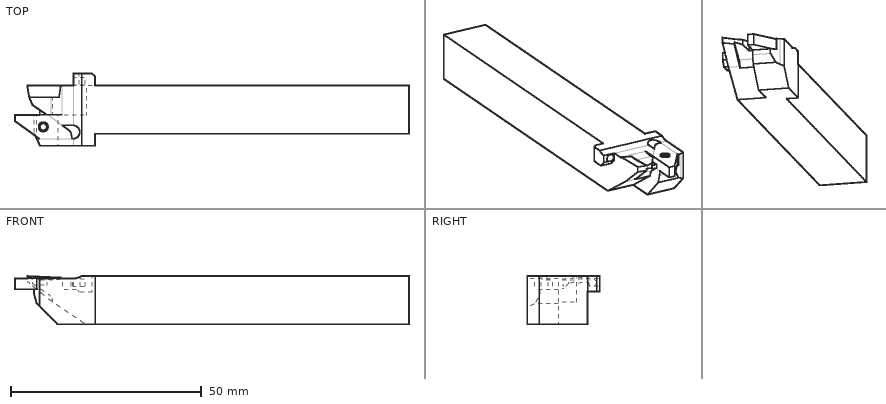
import math

import cadquery as cq

TOTAL_LENGTH = 103.3
SHANK_SIDE = 12.7
SHANK_HALF = SHANK_SIDE / 2

HEAD_WIDTH = 19.0
HEAD_HALF = HEAD_WIDTH / 2
HEAD_BACK_X = 21.0
HEAD_TOP_Z = 12.1
COLLAR_FRONT_X = 15.3
RAMP_END_X = 17.5

EAR_BOTTOM_Z = 8.6
EAR_SLANT = 1.5
EAR_CORNER_CHAMFER = 0.8
EAR_HOLE_RADIUS = 1.0
EAR_HOLE_DEPTH = 3.0
EAR_HOLE_Y = 7.55
EAR_HOLE_Z = 10.95

SPLIT_Y = -1.35
SEAT_FRONT_X = 5.0
SEAT_RELIEF_TOP_Z = 8.0
SEAT_RELIEF_BOTTOM_X = 5.65
FRONT_CHAMFER = 11.25
SEAT_CORNERS = [(SEAT_FRONT_X, -6.2), (6.1, -8.4), (6.55, -HEAD_HALF)]

RIDGE_Y = 3.3
FINGER_TIP_X = 3.2
FINGER_BEND_X = 4.6
FINGER_BEND_Y = 1.2
FINGER_RIDGE_X = 3.7
FINGER_FLANK_END_X = 8.4
FINGER_BOTTOM_Z = 11.25
LEDGE_Z = 10.45
LEDGE_X = 6.5
LIP_X = 9.3
LIP_Z = 6.3
THROAT_ANGLE = 34.0
THROAT_WALL_X = 9.8
THROAT_RADIUS = 2.4

RIDGE_Z = 12.2
GROOVE_FLOOR_END_X = 9.4
GROOVE_FLOOR_END_Z = 11.75
GROOVE_END_X = 12.25
GROOVE_ARC_SAG = 0.1
BAND_END_INNER_X = 11.6
BAND_END_OUTER_X = 12.0
BAND_END_Z = 12.3

INSERT_BOTTOM_Z = 9.2
INSERT_SIDE_Y = -7.6
INSERT_FLANK_END_X = 6.4
INSERT_OUTLINE = [
    (0, SPLIT_Y),
    (0, -3.0),
    (INSERT_FLANK_END_X, INSERT_SIDE_Y),
    (15.0, INSERT_SIDE_Y),
    (14.7, -6.0),
    (14.2, -5.4),
    (8.65, SPLIT_Y),
]
SCREW_X = 7.45
SCREW_Y = -4.5
SCREW_HEAD_RADIUS = 1.25
SCREW_HEAD_DEPTH = 0.2
SCREW_SOCKET_RADIUS = 0.9
SCREW_SOCKET_DEPTH = 0.4
RELIEF_X = 15.25
RELIEF_RADIUS = 1.75
RELIEF_START_X = 11.0

CLEAR = 5.0


def plan_prism(points, bottom, top):
    """Solid with the given XY outline between two heights."""
    return cq.Workplane("XY").workplane(offset=bottom).polyline(points).close().extrude(top - bottom)


def across(profile, y_low, y_high):
    """Sweep a closed XZ sketch along Y between two positions."""
    return profile.extrude(y_high - y_low).translate((0, y_high, 0))


def profile_from(x, z):
    return cq.Workplane("XZ").moveTo(x, z)


def make_shank():
    length = TOTAL_LENGTH - HEAD_BACK_X
    bar = cq.Workplane("XY").box(length, SHANK_SIDE, SHANK_SIDE, centered=(False, True, False))
    return bar.translate((HEAD_BACK_X, 0, 0))


def make_seat_half():
    outline = [(SEAT_FRONT_X, SPLIT_Y)] + SEAT_CORNERS + [(HEAD_BACK_X, -HEAD_HALF), (HEAD_BACK_X, SPLIT_Y)]
    block = plan_prism(outline, 0, SHANK_SIDE)
    under_nose = across(
        profile_from(SEAT_FRONT_X, SEAT_RELIEF_TOP_Z)
        .lineTo(SEAT_RELIEF_BOTTOM_X, FRONT_CHAMFER - SEAT_RELIEF_BOTTOM_X)
        .lineTo(FRONT_CHAMFER, 0)
        .lineTo(SEAT_FRONT_X, 0)
        .close(),
        -HEAD_HALF,
        SPLIT_Y,
    )
    return block.cut(under_nose)


def make_support_half():
    heel_slope = math.tan(math.radians(THROAT_ANGLE))
    heel_x = LIP_X + LIP_Z / heel_slope

    band = across(
        profile_from(FINGER_TIP_X, SHANK_SIDE)
        .lineTo(FINGER_TIP_X, FINGER_BOTTOM_Z)
        .lineTo(LIP_X, LIP_Z)
        .lineTo(heel_x, 0)
        .lineTo(HEAD_BACK_X, 0)
        .lineTo(HEAD_BACK_X, SHANK_SIDE)
        .close(),
        RIDGE_Y,
        SHANK_HALF,
    )

    wall_bottom_z = LIP_Z - (THROAT_WALL_X - LIP_X) * heel_slope
    arc_centre_x = THROAT_WALL_X - THROAT_RADIUS
    arc_turn = math.radians(90 - THROAT_ANGLE)
    arc_start = (
        arc_centre_x + THROAT_RADIUS * math.cos(arc_turn),
        wall_bottom_z + THROAT_RADIUS * math.sin(arc_turn),
    )
    arc_middle = (
        arc_centre_x + THROAT_RADIUS * math.cos(arc_turn / 2),
        wall_bottom_z + THROAT_RADIUS * math.sin(arc_turn / 2),
    )
    underside_front_z = arc_start[1] + (arc_start[0] - FINGER_TIP_X) * heel_slope
    inner = across(
        profile_from(FINGER_TIP_X, SHANK_SIDE)
        .lineTo(FINGER_TIP_X, underside_front_z)
        .lineTo(*arc_start)
        .threePointArc(arc_middle, (THROAT_WALL_X, wall_bottom_z))
        .lineTo(heel_x, 0)
        .lineTo(HEAD_BACK_X, 0)
        .lineTo(HEAD_BACK_X, SHANK_SIDE)
        .close(),
        SPLIT_Y,
        RIDGE_Y,
    )
    half = band.union(inner)

    back = [(HEAD_BACK_X, SPLIT_Y), (HEAD_BACK_X, SHANK_HALF)]
    front = [(FINGER_TIP_X, SHANK_HALF), (FINGER_RIDGE_X, RIDGE_Y), (FINGER_BEND_X, FINGER_BEND_Y)]
    flank_slope = (SPLIT_Y - FINGER_BEND_Y) / (FINGER_FLANK_END_X - FINGER_BEND_X)
    ledge_y = FINGER_BEND_Y + (LEDGE_X - FINGER_BEND_X) * flank_slope
    upper = plan_prism(front + [(FINGER_FLANK_END_X, SPLIT_Y)] + back, LEDGE_Z, SHANK_SIDE)
    lower = plan_prism(front + [(LEDGE_X, ledge_y), (LEDGE_X, SPLIT_Y)] + back, 0, LEDGE_Z)
    return half.intersect(upper.union(lower))


def make_ear():
    """Collar overhang beyond the shank on +Y, slanted underneath at the front."""
    ear = across(
        profile_from(COLLAR_FRONT_X, SHANK_SIDE)
        .lineTo(COLLAR_FRONT_X, EAR_BOTTOM_Z + EAR_SLANT)
        .lineTo(COLLAR_FRONT_X + EAR_SLANT, EAR_BOTTOM_Z)
        .lineTo(HEAD_BACK_X, EAR_BOTTOM_Z)
        .lineTo(HEAD_BACK_X, SHANK_SIDE)
        .close(),
        SHANK_HALF,
        HEAD_HALF,
    )
    ear = ear.edges("|Z and >X and >Y").chamfer(EAR_CORNER_CHAMFER)
    hole = (
        cq.Workplane("YZ", origin=(COLLAR_FRONT_X, EAR_HOLE_Y, EAR_HOLE_Z))
        .circle(EAR_HOLE_RADIUS)
        .extrude(EAR_HOLE_DEPTH)
    )
    return ear.cut(hole)


def band_zone():
    """Space over the outer band of the finger."""
    return plan_prism(
        [
            (0, RIDGE_Y),
            (BAND_END_INNER_X, RIDGE_Y),
            (BAND_END_OUTER_X, SHANK_HALF),
            (0, SHANK_HALF),
        ],
        LEDGE_Z,
        SHANK_SIDE + CLEAR,
    )


def groove_zone():
    """Space down to the chip groove floor and ramp, leaving the outer band standing."""
    floor_slope = (GROOVE_FLOOR_END_Z - RIDGE_Z) / (GROOVE_FLOOR_END_X - FINGER_RIDGE_X)
    space = across(
        profile_from(0, RIDGE_Z - FINGER_RIDGE_X * floor_slope)
        .lineTo(GROOVE_FLOOR_END_X, GROOVE_FLOOR_END_Z)
        .sagittaArc((GROOVE_END_X, HEAD_TOP_Z), -GROOVE_ARC_SAG)
        .lineTo(GROOVE_END_X, SHANK_SIDE + CLEAR)
        .lineTo(0, SHANK_SIDE + CLEAR)
        .close(),
        SPLIT_Y,
        SHANK_HALF,
    )
    return space.cut(band_zone())


def above_band_plane():
    """Half space above the tilted top of the outer band."""
    tip = cq.Vector(FINGER_TIP_X, SHANK_HALF, SHANK_SIDE)
    ridge_front = cq.Vector(FINGER_RIDGE_X, RIDGE_Y, RIDGE_Z)
    outer_end = cq.Vector(BAND_END_OUTER_X, SHANK_HALF, BAND_END_Z)
    along = outer_end - tip
    normal = along.cross(tip - ridge_front)
    plane = cq.Plane(origin=tip.toTuple(), xDir=along.toTuple(), normal=normal.toTuple())
    return cq.Workplane(plane).rect(2 * HEAD_BACK_X, 2 * HEAD_WIDTH).extrude(CLEAR)


def lowered_top():
    """Space above the lowered head top, with a hollow ramp up to the collar."""
    ramp_run = RAMP_END_X - COLLAR_FRONT_X
    ramp_rise = SHANK_SIDE - HEAD_TOP_Z
    space = across(
        profile_from(0, HEAD_TOP_Z)
        .lineTo(COLLAR_FRONT_X, HEAD_TOP_Z)
        .tangentArcPoint((ramp_run, ramp_rise))
        .lineTo(RAMP_END_X, SHANK_SIDE + CLEAR)
        .lineTo(0, SHANK_SIDE + CLEAR)
        .close(),
        -HEAD_HALF,
        HEAD_HALF,
    )
    finger_space = cq.Workplane("XY").box(
        GROOVE_END_X, SHANK_HALF - SPLIT_Y, SHANK_SIDE + CLEAR, centered=False
    ).translate((0, SPLIT_Y, 0))
    return space.cut(finger_space)


def insert_relief():
    """Round-ended clearance slot behind the insert."""
    centre_y = INSERT_SIDE_Y + RELIEF_RADIUS
    height = SHANK_SIDE + CLEAR - INSERT_BOTTOM_Z
    base = cq.Workplane("XY").workplane(offset=INSERT_BOTTOM_Z)
    round_end = base.center(RELIEF_X, centre_y).circle(RELIEF_RADIUS).extrude(height)
    straight = plan_prism(
        [
            (RELIEF_START_X, INSERT_SIDE_Y),
            (RELIEF_X, INSERT_SIDE_Y),
            (RELIEF_X, centre_y + RELIEF_RADIUS),
            (RELIEF_START_X, centre_y + RELIEF_RADIUS),
        ],
        INSERT_BOTTOM_Z,
        SHANK_SIDE + CLEAR,
    )
    return round_end.union(straight)


def make_insert():
    blade = plan_prism(INSERT_OUTLINE, INSERT_BOTTOM_Z, HEAD_TOP_Z)
    top = cq.Workplane("XY", origin=(SCREW_X, SCREW_Y, HEAD_TOP_Z))
    head = top.circle(SCREW_HEAD_RADIUS).extrude(-SCREW_HEAD_DEPTH)
    socket = top.circle(SCREW_SOCKET_RADIUS).extrude(-SCREW_SOCKET_DEPTH)
    return blade.cut(head).cut(socket)


def insert_pocket():
    """Room for the insert, opened to the front so that its whole flank is free."""
    open_front = plan_prism(
        [
            (0, SPLIT_Y),
            (0, INSERT_SIDE_Y),
            (INSERT_FLANK_END_X, INSERT_SIDE_Y),
            (INSERT_FLANK_END_X, SPLIT_Y),
        ],
        INSERT_BOTTOM_Z,
        HEAD_TOP_Z,
    )
    return plan_prism(INSERT_OUTLINE, INSERT_BOTTOM_Z, HEAD_TOP_Z).union(open_front)


head = make_seat_half().union(make_support_half()).union(make_ear())
holder = head.union(make_shank())
holder = holder.cut(lowered_top())
holder = holder.cut(groove_zone())
holder = holder.cut(band_zone().intersect(above_band_plane()))
holder = holder.cut(insert_relief())

result = holder.cut(insert_pocket()).union(make_insert(), clean=False)